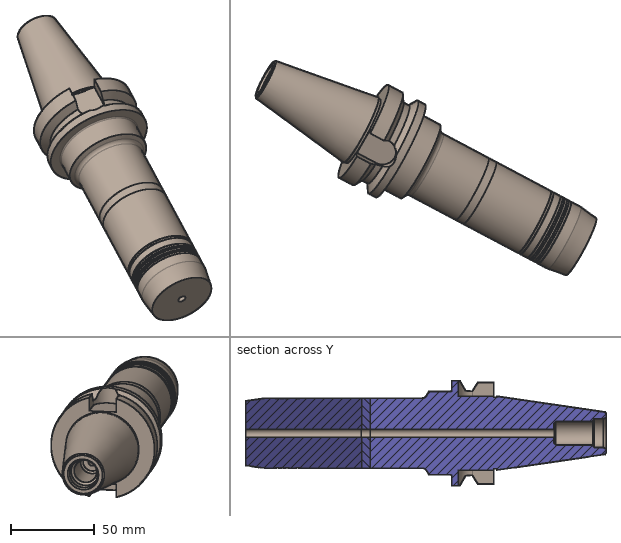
import cadquery as cq
import math


TOTAL_LENGTH = 215.5

TAPER_LENGTH = 65.5
TAPER_SLOPE = 7 / 48
TAPER_END_RADIUS = 22.2
TAPER_SMALL_RADIUS = TAPER_END_RADIUS - TAPER_LENGTH * TAPER_SLOPE
TIP_CHAMFER_LENGTH = 0.6
TIP_CHAMFER_HEIGHT = 0.9
NECK_RADIUS = 21.5

FLANGE_START = 67.2
FLANGE_END = 92.5
FLANGE_RADIUS = 31.5
V_GROOVE_CENTRE = 82.0
V_GROOVE_FLOOR_RADIUS = 26.5
V_GROOVE_FLOOR_WIDTH = 4.0
V_GROOVE_TOP_WIDTH = 10.5

SLOT_WIDTH = 16.4
SLOT_END = 88.3
SLOT_FLOOR_HEIGHT = 22.2

COLLAR_RADIUS = 25.0
COLLAR_END = 106.0
COLLAR_ROOT_FILLET = 0.6
COLLAR_BEVEL_ANGLE = math.radians(60)
COLLAR_FRONT_FILLET = 3.0

BODY_DIAMETER = 42.0
BODY_RADIUS = BODY_DIAMETER / 2
SPACER_START = 141.0
SLEEVE_START = 146.3
NOSE_CONE_START = 203.8
NOSE_CONE_ANGLE = math.radians(8)

RING_GROOVE_WIDTH = 1.62
RING_GROOVE_DEPTH = 0.1
RING_GROOVE_WALL_ANGLE = math.radians(30)
SINGLE_GROOVE_CENTRE = 184.4
GROUP_GROOVE_COUNT = 3
GROUP_FIRST_CENTRE = 190.6
GROUP_LAST_CENTRE = 196.5
GROUP_GROOVE_PITCH = (GROUP_LAST_CENTRE - GROUP_FIRST_CENTRE) / (GROUP_GROOVE_COUNT - 1)

MOUTH_DIAMETER = 18.7
MOUTH_RADIUS = MOUTH_DIAMETER / 2
MOUTH_DEPTH = 1.7
COUNTERBORE_DIAMETER = 17.0
COUNTERBORE_RADIUS = COUNTERBORE_DIAMETER / 2
COUNTERBORE_DEPTH = 7.1
THREAD_RADIUS = 7.0
THREAD_START = 8.2
THREAD_END = 30.2
BORE_FLOOR_RADIUS = 5.5
BORE_DEPTH = 31.2
COOLANT_RADIUS = 2.4


def turned(profile_points):
    """Solid of revolution about X from a closed outline of (x, radius) points."""
    return cq.Workplane("XZ").polyline(profile_points).close().revolve(360, (0, 0, 0), (1, 0, 0))


def coolant_hole():
    return cq.Workplane("YZ").circle(COOLANT_RADIUS).extrude(TOTAL_LENGTH)


def holder_blank():
    """Outer shape of the holder: taper, flange, collar and rear part of the straight body."""
    half_top = V_GROOVE_TOP_WIDTH / 2
    half_floor = V_GROOVE_FLOOR_WIDTH / 2
    tip_shoulder_radius = TAPER_SMALL_RADIUS + TIP_CHAMFER_LENGTH * TAPER_SLOPE

    root_radius = COLLAR_RADIUS + COLLAR_ROOT_FILLET
    root_end = FLANGE_END + COLLAR_ROOT_FILLET
    root_sag = COLLAR_ROOT_FILLET * (1 - math.sqrt(0.5))

    fillet_top = BODY_RADIUS + COLLAR_FRONT_FILLET * (1 - math.cos(COLLAR_BEVEL_ANGLE))
    bevel_end = COLLAR_END + (COLLAR_RADIUS - fillet_top) / math.tan(COLLAR_BEVEL_ANGLE)
    fillet_end = bevel_end + COLLAR_FRONT_FILLET * math.sin(COLLAR_BEVEL_ANGLE)
    half_angle = COLLAR_BEVEL_ANGLE / 2
    fillet_middle = (
        fillet_end - COLLAR_FRONT_FILLET * math.sin(half_angle),
        BODY_RADIUS + COLLAR_FRONT_FILLET * (1 - math.cos(half_angle)),
    )

    outline = (
        cq.Workplane("XZ")
        .moveTo(0, 0)
        .lineTo(0, TAPER_SMALL_RADIUS - TIP_CHAMFER_HEIGHT)
        .lineTo(TIP_CHAMFER_LENGTH, tip_shoulder_radius)
        .lineTo(TAPER_LENGTH, TAPER_END_RADIUS)
        .lineTo(TAPER_LENGTH, NECK_RADIUS)
        .lineTo(FLANGE_START, NECK_RADIUS)
        .lineTo(FLANGE_START, FLANGE_RADIUS)
        .lineTo(V_GROOVE_CENTRE - half_top, FLANGE_RADIUS)
        .lineTo(V_GROOVE_CENTRE - half_floor, V_GROOVE_FLOOR_RADIUS)
        .lineTo(V_GROOVE_CENTRE + half_floor, V_GROOVE_FLOOR_RADIUS)
        .lineTo(V_GROOVE_CENTRE + half_top, FLANGE_RADIUS)
        .lineTo(FLANGE_END, FLANGE_RADIUS)
        .lineTo(FLANGE_END, root_radius)
        .threePointArc((FLANGE_END + root_sag, COLLAR_RADIUS + root_sag), (root_end, COLLAR_RADIUS))
        .lineTo(COLLAR_END, COLLAR_RADIUS)
        .lineTo(bevel_end, fillet_top)
        .threePointArc(fillet_middle, (fillet_end, BODY_RADIUS))
        .lineTo(SPACER_START, BODY_RADIUS)
        .lineTo(SPACER_START, 0)
        .close()
    )
    return outline.revolve(360, (0, 0, 0), (1, 0, 0))


def stepped_bore():
    return turned([
        (0, 0),
        (0, MOUTH_RADIUS),
        (MOUTH_DEPTH, COUNTERBORE_RADIUS),
        (COUNTERBORE_DEPTH, COUNTERBORE_RADIUS),
        (THREAD_START, THREAD_RADIUS),
        (THREAD_END, THREAD_RADIUS),
        (BORE_DEPTH, BORE_FLOOR_RADIUS),
        (BORE_DEPTH, 0),
    ])


def drive_slot(side):
    """Cutter for the slot on the +Z (side = 1) or -Z (side = -1) edge of the flange."""
    half_width = SLOT_WIDTH / 2
    arc_start = SLOT_END - half_width
    return (
        cq.Workplane("XY")
        .workplane(offset=side * SLOT_FLOOR_HEIGHT)
        .moveTo(FLANGE_START, -half_width)
        .lineTo(arc_start, -half_width)
        .threePointArc((SLOT_END, 0), (arc_start, half_width))
        .lineTo(FLANGE_START, half_width)
        .close()
        .extrude(side * FLANGE_RADIUS)
    )


def make_holder():
    body = holder_blank().cut(stepped_bore()).cut(coolant_hole())
    for side in (1, -1):
        body = body.cut(drive_slot(side))
    return body


def make_spacer():
    blank = turned([
        (SPACER_START, 0),
        (SPACER_START, BODY_RADIUS),
        (SLEEVE_START, BODY_RADIUS),
        (SLEEVE_START, 0),
    ])
    return blank.cut(coolant_hole())


def ring_groove_points(centre):
    """Outline points of one ring groove with sloping walls, in order along +X."""
    wall_length = RING_GROOVE_DEPTH / math.tan(RING_GROOVE_WALL_ANGLE)
    half_top = (RING_GROOVE_WIDTH + wall_length) / 2
    half_floor = (RING_GROOVE_WIDTH - wall_length) / 2
    floor_radius = BODY_RADIUS - RING_GROOVE_DEPTH
    return [
        (centre - half_top, BODY_RADIUS),
        (centre - half_floor, floor_radius),
        (centre + half_floor, floor_radius),
        (centre + half_top, BODY_RADIUS),
    ]


def make_sleeve():
    groove_centres = [SINGLE_GROOVE_CENTRE]
    for i in range(GROUP_GROOVE_COUNT):
        groove_centres.append(GROUP_FIRST_CENTRE + i * GROUP_GROOVE_PITCH)

    nose_radius = BODY_RADIUS - (TOTAL_LENGTH - NOSE_CONE_START) * math.tan(NOSE_CONE_ANGLE)
    outline = [(SLEEVE_START, 0), (SLEEVE_START, BODY_RADIUS)]
    for centre in groove_centres:
        outline += ring_groove_points(centre)
    outline += [
        (NOSE_CONE_START, BODY_RADIUS),
        (TOTAL_LENGTH, nose_radius),
        (TOTAL_LENGTH, 0),
    ]
    return turned(outline).cut(coolant_hole())


holder = make_holder()
spacer = make_spacer()
sleeve = make_sleeve()

result = cq.Compound.makeCompound([holder.val(), spacer.val(), sleeve.val()])